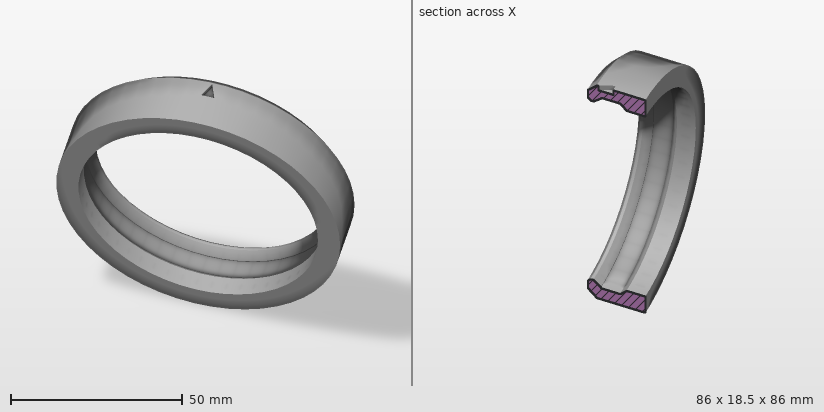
import cadquery as cq

outer_diameter = 86.0
ring_width = 18.5
outer_chamfer = 3.0

front_bore_diameter = 72.54
groove_diameter = 76.74
back_lip_diameter = 71.95
front_bore_length = 6.0
groove_back_y = 14.2
lip_front_y = 16.6
groove_back_step = 0.3
back_flare = 1.0

mark_base_width = 4.0
mark_base_y = 10.3
mark_tip_y = 15.1
mark_depth = 1.8


def revolve_about_y(profile):
    """Solid of revolution from (radius, Y) points."""
    return cq.Workplane("XY").polyline(profile).close().revolve(360, (0, 0), (0, 1))


def make_ring_body():
    """Plain disc with a chamfered back edge."""
    outer_radius = outer_diameter / 2
    return revolve_about_y([
        (0, 0),
        (outer_radius, 0),
        (outer_radius, ring_width - outer_chamfer),
        (outer_radius - outer_chamfer, ring_width),
        (0, ring_width),
    ])


def make_bore():
    """Front bore, groove with sloped walls, narrow lip and a 45 degree flare at the back."""
    front_radius = front_bore_diameter / 2
    groove_radius = groove_diameter / 2
    lip_radius = back_lip_diameter / 2
    groove_front_y = front_bore_length + groove_radius - front_radius
    back_wall_radius = groove_radius - groove_back_step
    return revolve_about_y([
        (0, 0),
        (front_radius, 0),
        (front_radius, front_bore_length),
        (groove_radius, groove_front_y),
        (groove_radius, groove_back_y),
        (back_wall_radius, groove_back_y),
        (lip_radius, lip_front_y),
        (lip_radius, ring_width - back_flare),
        (lip_radius + back_flare, ring_width),
        (0, ring_width),
    ])


def make_index_mark():
    """Triangular prism that cuts the mark, tip toward the back."""
    half_base = mark_base_width / 2
    outline = [(-half_base, mark_base_y), (half_base, mark_base_y), (0, mark_tip_y)]
    floor_z = outer_diameter / 2 - mark_depth
    return cq.Workplane("XY").workplane(offset=floor_z).polyline(outline).close().extrude(2 * mark_depth)


result = make_ring_body().cut(make_bore()).cut(make_index_mark())